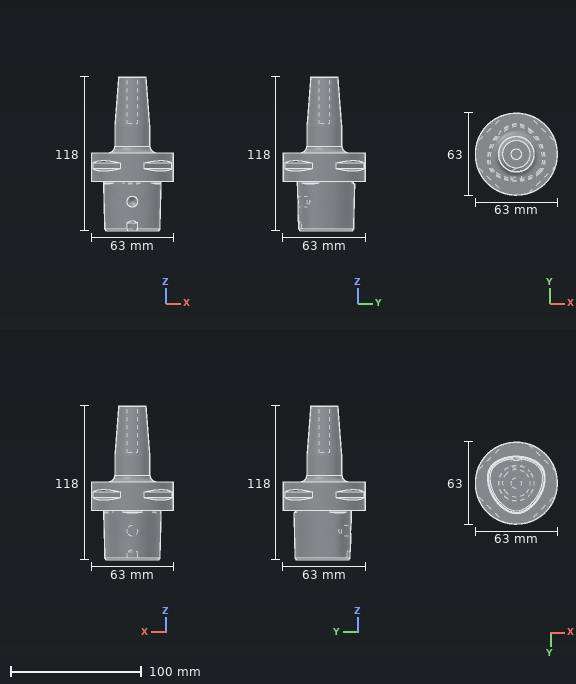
import cadquery as cq
import math

total_height = 118.0
shank_chamfer_height = 1.8
gauge_height = 35.2
flange_bottom = 38.0
flange_top = 60.1
neck_top = 79.9

flange_radius = 31.5
neck_radius = 13.5
nose_radius = 10.5
neck_fillet_height = 4.8
neck_fillet_foot_radius = 18.5
neck_fillet_top_radius = 13.7
bore_radius = 4.0
bore_depth = 35.4

shank_radius = 22.1
lobe_height = 1.3
taper_per_unit_height = 1 / 40
shank_chamfer_width = 1.2
outline_points = 48

relief_radius = 22.4
relief_straight_height = 1.1
relief_slope_height = 1.2

slot_count = 4
first_slot_angle = 45.0
slot_floor_distance = 27.7
slot_floor_height = 4.2
slot_mouth_height = 8.0
slot_centre_height = 50.0
slot_overshoot = 1.2

drill_point_angle = 118.0
cross_hole_radius = 4.1
cross_hole_height = 22.7
cross_hole_depth = 8.8
key_radius = 4.5
key_axis_distance = 21.8
key_height = 6.4


def lobed_outline(base_radius, height):
    """Constant-width three-lobed outline with one lobe toward +Y."""
    points = []
    for index in range(outline_points):
        angle = 2 * math.pi * index / outline_points - math.pi / 2
        lobe_angle = 3 * (angle - math.pi / 2)
        reach = base_radius + lobe_height * math.cos(lobe_angle)
        slope = -3 * lobe_height * math.sin(lobe_angle)
        x = reach * math.cos(angle) - slope * math.sin(angle)
        y = reach * math.sin(angle) + slope * math.cos(angle)
        points.append((x, y))
    return cq.Workplane("XY").workplane(offset=height).spline(points, periodic=True).close()


def lobed_section(lower_radius, lower_height, upper_radius, upper_height):
    """Solid between two lobed outlines."""
    lower = lobed_outline(lower_radius, lower_height).val()
    upper = lobed_outline(upper_radius, upper_height).val()
    return cq.Workplane(cq.Solid.makeLoft([lower, upper], True))


def make_shank():
    taper_height = gauge_height - shank_chamfer_height
    taper_end_radius = shank_radius - taper_height * taper_per_unit_height
    end_radius = taper_end_radius - shank_chamfer_width
    chamfer = lobed_section(end_radius, 0, taper_end_radius, shank_chamfer_height)
    taper = lobed_section(taper_end_radius, shank_chamfer_height, shank_radius, gauge_height)
    return chamfer.union(taper).union(make_collar())


def make_collar():
    """Straight lobed collar, its lobes trimmed by a round relief under the flange."""
    collar = lobed_section(shank_radius, gauge_height, shank_radius, flange_bottom)
    straight_bottom = flange_bottom - relief_straight_height
    slope_bottom = straight_bottom - relief_slope_height
    envelope = (
        cq.Workplane("XZ")
        .moveTo(0, gauge_height)
        .lineTo(flange_radius, gauge_height)
        .lineTo(flange_radius, slope_bottom)
        .lineTo(relief_radius + relief_slope_height, slope_bottom)
        .lineTo(relief_radius, straight_bottom)
        .lineTo(relief_radius, flange_bottom)
        .lineTo(0, flange_bottom)
        .close()
        .revolve(360, (0, 0), (0, 1))
    )
    return collar.intersect(envelope)


def make_upper_body():
    """Flange, flared neck and conical nose."""
    fillet_top = flange_top + neck_fillet_height
    fillet_width = neck_fillet_foot_radius - neck_fillet_top_radius
    middle = (
        neck_fillet_foot_radius - fillet_width * math.sin(math.pi / 4),
        fillet_top - neck_fillet_height * math.sin(math.pi / 4),
    )
    return (
        cq.Workplane("XZ")
        .moveTo(0, flange_bottom)
        .lineTo(flange_radius, flange_bottom)
        .lineTo(flange_radius, flange_top)
        .lineTo(neck_fillet_foot_radius, flange_top)
        .threePointArc(middle, (neck_fillet_top_radius, fillet_top))
        .lineTo(neck_radius, fillet_top)
        .lineTo(neck_radius, neck_top)
        .lineTo(nose_radius, total_height)
        .lineTo(0, total_height)
        .close()
        .revolve(360, (0, 0), (0, 1))
    )


def make_bore():
    top_plane = cq.Workplane("XY").workplane(offset=total_height)
    return top_plane.circle(bore_radius).extrude(-bore_depth)


def make_gripper_slots():
    """Flat-floored slots with sloping sides, on the diagonals of the flange."""
    slope = (slot_mouth_height - slot_floor_height) / 2 / (flange_radius - slot_floor_distance)
    outer_distance = flange_radius + slot_overshoot
    floor_half = slot_floor_height / 2
    outer_half = floor_half + slope * (outer_distance - slot_floor_distance)
    slot = (
        cq.Workplane("XZ")
        .polyline([
            (slot_floor_distance, slot_centre_height - floor_half),
            (outer_distance, slot_centre_height - outer_half),
            (outer_distance, slot_centre_height + outer_half),
            (slot_floor_distance, slot_centre_height + floor_half),
        ])
        .close()
        .extrude(flange_radius, both=True)
    )
    slots = cq.Workplane("XY")
    for index in range(slot_count):
        slots = slots.add(slot.rotate((0, 0, 0), (0, 0, 1), first_slot_angle + index * 360 / slot_count))
    return slots.combine()


def drill(radius, depth):
    """Drill standing on the origin, pointed end up; depth is to the full diameter."""
    point_height = radius / math.tan(math.radians(drill_point_angle / 2))
    return (
        cq.Workplane("XZ")
        .polyline([(0, 0), (radius, 0), (radius, depth), (0, depth + point_height)])
        .close()
        .revolve(360, (0, 0), (0, 1))
    )


def make_cross_hole():
    hole = drill(cross_hole_radius, cross_hole_depth)
    return hole.rotate((0, 0, 0), (1, 0, 0), -90).translate((0, -shank_radius, cross_hole_height))


def make_key_groove():
    return drill(key_radius, key_height).translate((0, -key_axis_distance, 0))


result = (
    make_upper_body()
    .union(make_shank())
    .cut(make_bore())
    .cut(make_gripper_slots())
    .cut(make_cross_hole())
    .cut(make_key_groove())
)